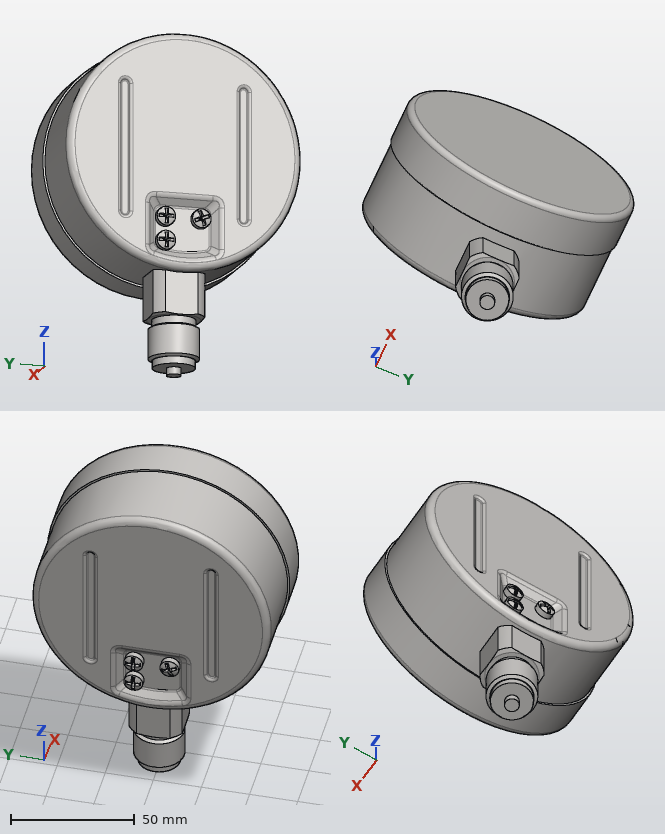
import cadquery as cq
import math


case_diameter = 99.0
bezel_diameter = 100.8
case_length = 50.0
bezel_start = 32.0
back_edge_radius = 3.0
bezel_edge_radius = 2.5

groove_spacing = 50.2
groove_width = 4.4
groove_length = 57.6
groove_depth = 1.1
groove_wall_angle = 30.0
groove_rim_radius = 1.45
groove_floor_radius = 0.6

pocket_width = 31.0
pocket_top = -18.9
pocket_bottom_radius = 45.2
pocket_depth = 3.75
pocket_wall_angle = 45.0
pocket_corner_radius = 3.8
pocket_rim_radius = 3.0
pocket_floor_radius = 1.2

screw_diameter = 7.8
screw_side_height = 2.6
screw_dome_height = 1.1
recess_length = 6.2
recess_width = 1.3
recess_depth = 3.0
screw_offset = 7.5
upper_screw_z = -27.2
lower_screw_z = -37.2
turned_screw_angle = 20.0

stem_x = 15.5
wrench_size = 22.0
wrench_corner_diameter = 26.0
wrench_top = -38.5
wrench_bottom = -67.0
wrench_chamfer_height = 0.6
neck_diameter = 18.0
thread_top = -70.0
thread_bottom = -84.0
thread_diameter = 20.96
thread_chamfer_angle = 30.0
collar_diameter = 17.5
collar_bottom = -87.0
pin_diameter = 6.0
pin_bottom = -90.0


def make_case():
    """Drum with a rounded back edge and a wider bezel ring at its front."""
    drum = cq.Workplane("YZ").circle(case_diameter / 2).extrude(bezel_start)
    drum = drum.faces("<X").edges().fillet(back_edge_radius)
    bezel = (
        cq.Workplane("YZ", origin=(bezel_start, 0, 0))
        .circle(bezel_diameter / 2)
        .extrude(case_length - bezel_start)
        .faces(">X")
        .edges()
        .fillet(bezel_edge_radius)
    )
    return drum.union(bezel)


def flare_rim(recess, depth, rim_radius):
    """Widen a recess body so that its walls curve out smoothly into the back face."""
    slab = cq.Workplane("YZ").rect(case_diameter, case_diameter).extrude(depth)
    frame = slab.cut(recess)
    rim = frame.faces("<X").val().innerWires()[0]
    rounded_frame = frame.newObject(rim.Edges()).fillet(rim_radius)
    return slab.cut(rounded_frame)


def make_groove():
    """Upright round-ended groove body centred on the dial axis."""
    groove = (
        cq.Workplane("YZ")
        .slot2D(groove_length, groove_width, 90)
        .extrude(groove_depth, taper=groove_wall_angle)
    )
    groove = groove.faces(">X").edges().fillet(groove_floor_radius)
    return flare_rim(groove, groove_depth, groove_rim_radius)


def make_pocket():
    """Body of the sunken screw pocket."""
    half_width = pocket_width / 2
    corner_z = -math.sqrt(pocket_bottom_radius**2 - half_width**2)
    pocket = (
        cq.Workplane("YZ")
        .moveTo(-half_width, pocket_top)
        .lineTo(half_width, pocket_top)
        .lineTo(half_width, corner_z)
        .threePointArc((0, -pocket_bottom_radius), (-half_width, corner_z))
        .close()
        .extrude(pocket_depth, taper=pocket_wall_angle)
    )
    pocket = pocket.edges("not(<X or >X)").fillet(pocket_corner_radius)
    pocket = pocket.faces(">X").edges().fillet(pocket_floor_radius)
    return flare_rim(pocket, pocket_depth, pocket_rim_radius)


def make_screw():
    """Domed screw head on the YZ plane, rising towards -X."""
    radius = screw_diameter / 2
    top = screw_side_height + screw_dome_height
    sphere_radius = (radius**2 + screw_dome_height**2) / (2 * screw_dome_height)
    rim_angle = math.asin(radius / sphere_radius)
    mid_radius = sphere_radius * math.sin(rim_angle / 2)
    mid_height = top - sphere_radius * (1 - math.cos(rim_angle / 2))
    head = (
        cq.Workplane("XY")
        .moveTo(0, 0)
        .lineTo(0, radius)
        .lineTo(-screw_side_height, radius)
        .threePointArc((-mid_height, mid_radius), (-top, 0))
        .close()
        .revolve(360, (0, 0, 0), (1, 0, 0))
    )
    wedge = (
        cq.Workplane("XY")
        .moveTo(-top, -recess_length / 2)
        .lineTo(-top, recess_length / 2)
        .lineTo(-screw_side_height, recess_length / 2)
        .lineTo(recess_depth - top, 0)
        .lineTo(-screw_side_height, -recess_length / 2)
        .close()
        .extrude(recess_width / 2, both=True)
    )
    return head.cut(wedge).cut(wedge.rotate((0, 0, 0), (1, 0, 0), 90))


def add_screws(body):
    """Place the three screws on the pocket floor."""
    placements = [
        (screw_offset, upper_screw_z, 0),
        (screw_offset, lower_screw_z, 0),
        (-screw_offset, upper_screw_z, turned_screw_angle),
    ]
    for y, z, angle in placements:
        screw = make_screw().rotate((0, 0, 0), (1, 0, 0), -angle)
        body = body.union(screw.translate((pocket_depth, y, z)))
    return body


def make_wrench_block():
    """Square block with turned corners and a chamfered lower end."""
    square = (
        cq.Workplane("XY", origin=(0, 0, wrench_bottom))
        .rect(wrench_size, wrench_size)
        .extrude(wrench_top - wrench_bottom)
    )
    turned = (
        cq.Workplane("XZ")
        .moveTo(0, wrench_bottom)
        .lineTo(wrench_size / 2, wrench_bottom)
        .lineTo(wrench_corner_diameter / 2, wrench_bottom + wrench_chamfer_height)
        .lineTo(wrench_corner_diameter / 2, wrench_top)
        .lineTo(0, wrench_top)
        .close()
        .revolve(360, (0, 0, 0), (0, 1, 0))
    )
    return square.intersect(turned)


def make_spigot():
    """Turned neck, chamfered thread, collar and pin below the wrench block."""
    neck_radius = neck_diameter / 2
    thread_radius = thread_diameter / 2
    collar_radius = collar_diameter / 2
    pin_radius = pin_diameter / 2
    chamfer_height = (thread_radius - neck_radius) * math.tan(math.radians(thread_chamfer_angle))
    return (
        cq.Workplane("XZ")
        .moveTo(0, wrench_bottom)
        .lineTo(neck_radius, wrench_bottom)
        .lineTo(neck_radius, thread_top)
        .lineTo(thread_radius, thread_top - chamfer_height)
        .lineTo(thread_radius, thread_bottom + chamfer_height)
        .lineTo(neck_radius, thread_bottom)
        .lineTo(collar_radius, thread_bottom)
        .lineTo(collar_radius, collar_bottom)
        .lineTo(pin_radius, collar_bottom)
        .lineTo(pin_radius, pin_bottom)
        .lineTo(0, pin_bottom)
        .close()
        .revolve(360, (0, 0, 0), (0, 1, 0))
    )


gauge = make_case().cut(make_pocket())
for side in (-1, 1):
    gauge = gauge.cut(make_groove().translate((0, side * groove_spacing / 2, 0)))
gauge = add_screws(gauge)
connection = make_wrench_block().union(make_spigot()).translate((stem_x, 0, 0))
result = gauge.union(connection)